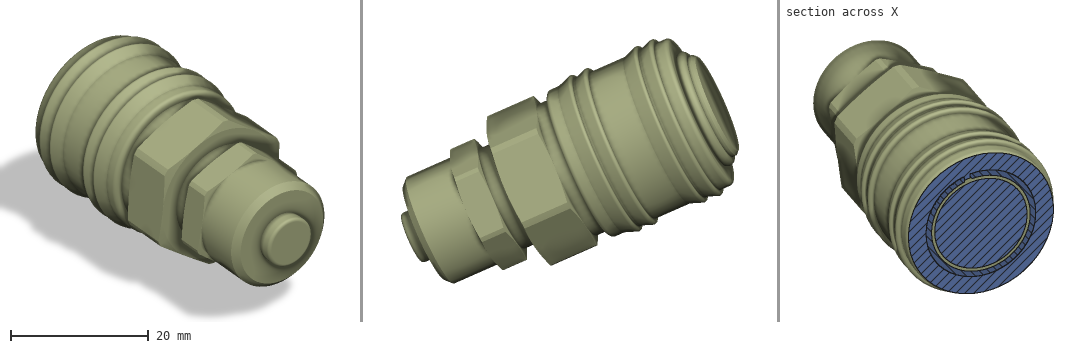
import cadquery as cq
import math


LENGTH = 49.1
NOSE_D = 15.95
NOSE_CHAMFER = 0.5

RING_OUTER_D = 18.0
RING_GROOVE_D = 14.6
RING_X = 1.9
RING_WIRE_R = (RING_OUTER_D - RING_GROOVE_D) / 4
RING_GAP = 1.05
RING_GAP_ANGLE = 15
RING_R = RING_OUTER_D / 2 - RING_WIRE_R

SLEEVE_X0 = 2.5
SLEEVE_X1 = 22.15
SLEEVE_D = 23.3
SLEEVE_FILLET = 0.65

RIDGE_D = 24.8
RIDGE_TAPER = 20
FIRST_RIDGE_ROUND = 0.45
SECOND_RIDGE_ROUND = 0.4
RIDGE_VALLEY_D = 23.55
RIDGE_PITCH = 2.5
RIDGE_PAIR_STARTS = (4.6, 15.1)

COLLAR_D = 20.9
HEX_CHAMFER_ANGLE = 15
BODY_HEX_X0 = 24.05
BODY_HEX_X1 = 32.1
BODY_HEX_FLATS = 21.0
BODY_HEX_CORNER_D = 23.65
BODY_HEX_TURN = 6

NECK_D = NOSE_D
NUT_HEX_X0 = 34.5
NUT_HEX_X1 = 38.9
NUT_HEX_FLATS = 17.0
NUT_HEX_CORNER_D = 19.2
NUT_HEX_TURN = 8.5
NUT_D = NUT_HEX_FLATS
NUT_X1 = 47.0
NUT_CHAMFER = 1.0

STEM_D = 7.85
STEM_FILLET = 0.5


def cylinder(x0, x1, diameter):
    """Solid cylinder along X."""
    return cq.Workplane("YZ", origin=(x0, 0, 0)).circle(diameter / 2).extrude(x1 - x0)


def revolve_about_x(profile):
    return profile.close().revolve(360, (0, 0, 0), (1, 0, 0))


def make_ridge(x0, crest_round, foot_d):
    """Saw-tooth ridge: steep face at x0, rounded crest, taper down to foot_d."""
    taper = math.radians(RIDGE_TAPER)
    crest_x = x0 + crest_round
    crest_r = RIDGE_D / 2 - crest_round

    def on_crest(angle):
        """Point of the crest round, with the angle measured from the radial direction."""
        return crest_x + crest_round * math.sin(angle), crest_r + crest_round * math.cos(angle)

    taper_start = on_crest(taper)
    foot_x = taper_start[0] + (taper_start[1] - foot_d / 2) / math.tan(taper)
    profile = (
        cq.Workplane("XY")
        .moveTo(x0, 0)
        .lineTo(x0, crest_r)
        .threePointArc(on_crest((taper - math.pi / 2) / 2), taper_start)
        .lineTo(foot_x, foot_d / 2)
        .lineTo(foot_x, 0)
    )
    return revolve_about_x(profile)


def make_sleeve():
    sleeve = cylinder(SLEEVE_X0, SLEEVE_X1, SLEEVE_D).edges().fillet(SLEEVE_FILLET)
    for x0 in RIDGE_PAIR_STARTS:
        second_x0 = x0 + RIDGE_PITCH
        sleeve = sleeve.union(make_ridge(x0, FIRST_RIDGE_ROUND, RIDGE_VALLEY_D))
        sleeve = sleeve.union(cylinder(x0, second_x0, RIDGE_VALLEY_D))
        sleeve = sleeve.union(make_ridge(second_x0, SECOND_RIDGE_ROUND, SLEEVE_D))
    return sleeve


def make_hexagon(x0, x1, flats, corner_d, turn):
    """Hexagon along X with corners turned to a cylinder and both ends chamfered."""
    prism = (
        cq.Workplane("YZ", origin=(x0, 0, 0))
        .polygon(6, flats / math.cos(math.pi / 6))
        .extrude(x1 - x0)
        .rotate((0, 0, 0), (1, 0, 0), 90 - turn)
    )
    corner_r = corner_d / 2
    end_r = flats / 2
    chamfer = (corner_r - end_r) * math.tan(math.radians(HEX_CHAMFER_ANGLE))
    envelope = revolve_about_x(
        cq.Workplane("XY")
        .moveTo(x0, 0)
        .lineTo(x0, end_r)
        .lineTo(x0 + chamfer, corner_r)
        .lineTo(x1 - chamfer, corner_r)
        .lineTo(x1, end_r)
        .lineTo(x1, 0)
    )
    return prism.intersect(envelope)


def make_split_ring():
    """Ring of round wire about the X axis, cut open by a parallel-sided gap."""
    ring = (
        cq.Workplane("XY", origin=(RING_X, RING_R, 0))
        .circle(RING_WIRE_R)
        .revolve(360, (0, -RING_R, 0), (1, -RING_R, 0))
    )
    gap = (
        cq.Workplane("XY")
        .box(2 * RING_WIRE_R, RING_GAP, RING_OUTER_D, centered=(True, True, False))
        .translate((RING_X, 0, 0))
        .rotate((0, 0, 0), (1, 0, 0), -RING_GAP_ANGLE)
    )
    return ring.cut(gap)


def make_ring_groove():
    """Square-sided groove in the nose, as wide as the ring wire."""
    x0 = RING_X - RING_WIRE_R
    x1 = RING_X + RING_WIRE_R
    return cylinder(x0, x1, NOSE_D).cut(cylinder(x0, x1, RING_GROOVE_D))


def make_coupling(split_ring):
    """Coupling in one piece, with a groove and a sleeve recess that seat the split ring."""
    nose = cylinder(0, SLEEVE_X0, NOSE_D).faces("<X").chamfer(NOSE_CHAMFER)
    collar = cylinder(SLEEVE_X1, BODY_HEX_X0, COLLAR_D)
    body_hex = make_hexagon(BODY_HEX_X0, BODY_HEX_X1, BODY_HEX_FLATS, BODY_HEX_CORNER_D, BODY_HEX_TURN)
    neck = cylinder(BODY_HEX_X1, NUT_HEX_X0, NECK_D)
    nut_hex = make_hexagon(NUT_HEX_X0, NUT_HEX_X1, NUT_HEX_FLATS, NUT_HEX_CORNER_D, NUT_HEX_TURN)
    nut = cylinder(NUT_HEX_X1, NUT_X1, NUT_D).faces(">X").chamfer(NUT_CHAMFER)
    stem = cylinder(NUT_X1, LENGTH, STEM_D).faces(">X").edges().fillet(STEM_FILLET)

    coupling = make_sleeve()
    for section in (nose, collar, body_hex, neck, nut_hex, nut, stem):
        coupling = coupling.union(section)
    return coupling.cut(make_ring_groove()).cut(split_ring)


split_ring = make_split_ring()
coupling = make_coupling(split_ring)

result = cq.Compound.makeCompound([coupling.solids().val(), split_ring.solids().val()])